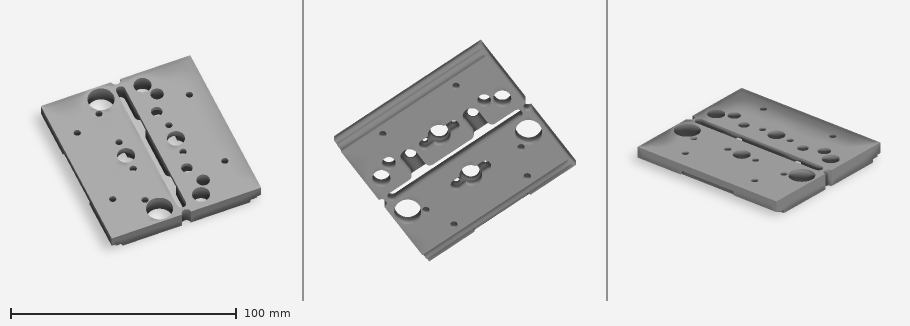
import cadquery as cq

length = 80.0
width = 72.0
height = 8.0

outer_step_inset = 2.0
outer_step_height = 2.6
inner_step_inset = 5.2
inner_step_height = 1.7

slot_length = 72.8
slot_width = 4.2

screw_diameter = 3.2
bore_diameter = 8.0
guide_diameter = 12.0
side_diameter = 6.0
window_hole_diameter = 5.1

mount_span_x = 40.0
mount_span_y = 54.0
bore_span_y = 24.0
flange_screw_span = 16.0
side_span_x = 52.0
side_span_y = 28.0
guide_span_x = 66.0
guide_span_y = 20.0
window_span_x = 34.0
window_hole_y = guide_span_y / 2

flange_pocket_height = 4.6
flange_disc_diameter = 10.0
flange_ear_width = 5.0

window_pocket_height = 5.9
window_pocket_width = 8.0
window_pocket_end_y = 15.0
window_mouth_round = 2.5

recess_length = 30.4
recess_height = 4.6
recess_depth = 1.0
relief_diameter = 1.0


def make_plate():
    half = width / 2
    outer_y = half - outer_step_inset
    inner_y = half - inner_step_inset
    return (
        cq.Workplane("YZ")
        .moveTo(0, height)
        .lineTo(half, height)
        .lineTo(half, outer_step_height)
        .lineTo(outer_y, outer_step_height)
        .lineTo(outer_y, inner_step_height)
        .lineTo(inner_y, inner_step_height)
        .lineTo(inner_y, 0)
        .lineTo(0, 0)
        .mirrorY()
        .extrude(length / 2, both=True)
    )


def make_cylinders(points, diameter, cylinder_height):
    """Upright cylinders standing on the underside plane."""
    return cq.Workplane("XY").pushPoints(points).circle(diameter / 2).extrude(cylinder_height)


def mirrored_pair(span, y):
    return [(-span / 2, y), (span / 2, y)]


def make_slot_and_notches():
    slot = cq.Workplane("XY").slot2D(slot_length, slot_width).extrude(height)
    notches = make_cylinders(mirrored_pair(length, 0), slot_width, height)
    return slot.union(notches)


def make_flange_pocket(y):
    ear_length = flange_screw_span + flange_ear_width
    ears = (
        cq.Workplane("XY")
        .center(0, y)
        .slot2D(ear_length, flange_ear_width)
        .extrude(flange_pocket_height)
    )
    disc = make_cylinders([(0, y)], flange_disc_diameter, flange_pocket_height)
    return ears.union(disc)


def make_window_pocket(x):
    """Pocket with a half-round inner end whose side walls flare out to the slot with convex rounds."""
    half = window_pocket_width / 2
    mouth_half = half + window_mouth_round
    mouth_y = slot_width / 2
    neck_y = mouth_y + window_mouth_round
    end_center_y = window_pocket_end_y - half
    return (
        cq.Workplane("XY")
        .center(x, 0)
        .moveTo(-mouth_half, mouth_y)
        .radiusArc((-half, neck_y), -window_mouth_round)
        .lineTo(-half, end_center_y)
        .threePointArc((0, window_pocket_end_y), (half, end_center_y))
        .lineTo(half, neck_y)
        .radiusArc((mouth_half, mouth_y), -window_mouth_round)
        .close()
        .extrude(window_pocket_height)
    )


def make_recess():
    back_y = recess_depth - width / 2
    block = (
        cq.Workplane("XY")
        .center(0, -width / 2)
        .rect(recess_length, 2 * recess_depth)
        .extrude(recess_height)
    )
    relief_points = mirrored_pair(recess_length - relief_diameter, back_y)
    return block.union(make_cylinders(relief_points, relief_diameter, recess_height))


bore_points = [(0, -bore_span_y / 2), (0, bore_span_y / 2)]

screw_points = mirrored_pair(side_span_x, -side_span_y / 2)
for side in (-1, 1):
    screw_points += mirrored_pair(mount_span_x, side * mount_span_y / 2)
    screw_points += mirrored_pair(flange_screw_span, side * bore_span_y / 2)

through_holes = [
    (screw_points, screw_diameter),
    (bore_points, bore_diameter),
    (mirrored_pair(guide_span_x, guide_span_y / 2), bore_diameter),
    (mirrored_pair(guide_span_x, -guide_span_y / 2), guide_diameter),
    (mirrored_pair(side_span_x, side_span_y / 2), side_diameter),
    (mirrored_pair(window_span_x, window_hole_y), window_hole_diameter),
]

result = make_plate().cut(make_slot_and_notches())
for points, diameter in through_holes:
    result = result.cut(make_cylinders(points, diameter, height))
for side in (-1, 1):
    result = result.cut(make_flange_pocket(side * bore_span_y / 2))
    result = result.cut(make_window_pocket(side * window_span_x / 2))
result = result.cut(make_recess())